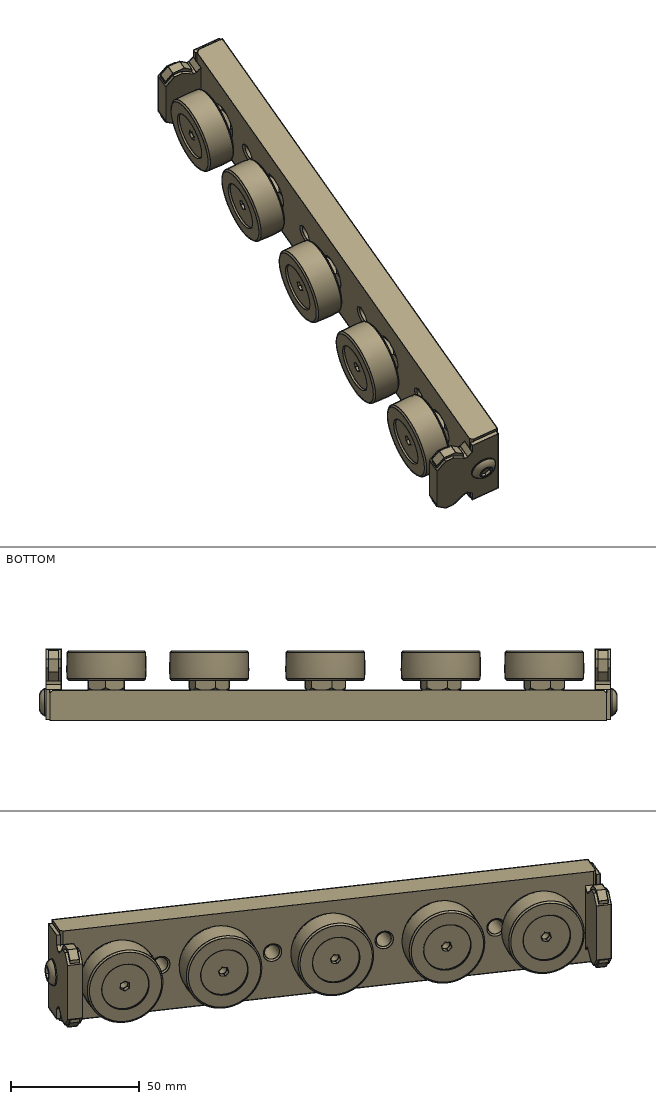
import cadquery as cq
import math


OVERALL_LENGTH = 224.2
OVERALL_DEPTH = 27.8
BACK_Y = OVERALL_DEPTH / 2
FRONT_Y = -OVERALL_DEPTH / 2

BAR_LENGTH = 216.0
BAR_THICKNESS = 11.9
BAR_HEIGHT = 38.0
BAR_END_CHAMFER = 1.1
BAR_FACE_Y = BACK_Y - BAR_THICKNESS
HOLE_PITCH = 45.0
HOLE_COUNT = 4
HOLE_DIAMETER = 6.0
HOLE_CHAMFER = 0.7

ROLLER_WIDTH = 11.5
ROLLER_CROWN_RADIUS = 15.5
ROLLER_EDGE_RADIUS = 15.2
ROLLER_EDGE_CHAMFER = 0.7
ROLLER_FRONT_Y = -13.2
ROLLER_BACK_Y = ROLLER_FRONT_Y + ROLLER_WIDTH
RECESS_DIAMETER = 19.0
RECESS_DEPTH = 1.0
SOCKET_ACROSS_FLATS = 3.5
SOCKET_DEPTH = 2.2
SOCKET_CONE_DEPTH = 1.1
COLLAR_ACROSS_FLATS = 14.0
COLLAR_CORNER_CHAMFER = 1.0

ROLLER_PLACES = [
    (-86.0, -0.7, 118),
    (-46.2, 0.7, 78),
    (-1.1, 0.7, 78),
    (43.7, 0.7, 78),
    (83.8, 0.0, 78),
]

PLATE_THICKNESS = 1.5
PLATE_HEIGHT = 35.5
PLATE_BACK_Y = 13.5
PLATE_FRONT_Y = 1.8
LEG_WIDTH = 6.0
LEG_HALF_HEIGHT = 15.2
LEG_FRONT_HALF_HEIGHT = 11.5
LEG_TOP_REAR_Y = -6.5
LEG_TOP_FRONT_Y = -10.0
NOTCH_HALF_HEIGHT = 11.7
NOTCH_MOUTH_HALF_HEIGHT = 13.5
NOTCH_REAR_Y = -0.2
NOTCH_FRONT_Y = -1.5
LIP_INSET = 1.1
LIP_WIDTH = LEG_WIDTH - 2 * LIP_INSET
LIP_HALF_HEIGHT = 16.4
LIP_SHOULDER_HALF_HEIGHT = 13.2
LIP_REAR_Y = NOTCH_FRONT_Y
LIP_TOP_REAR_Y = -5.0
LIP_FRONT_Y = -13.5

SCREW_Y = 6.7
HEAD_DIAMETER = 10.5
HEAD_RIM = 0.5
HEAD_TOP_DIAMETER = 5.5
HEAD_SHOULDER_DIAMETER = 9.0
HEAD_SHOULDER_HEIGHT = 1.5
SCREW_SOCKET_ACROSS_FLATS = 4.0
SCREW_SOCKET_DEPTH = 1.3

BAR_END_X = BAR_LENGTH / 2
COLLAR_HEIGHT = BAR_FACE_Y - ROLLER_BACK_Y
PLATE_OUTER_X = BAR_END_X + PLATE_THICKNESS
HEAD_HEIGHT = OVERALL_LENGTH / 2 - PLATE_OUTER_X


def across_corners(across_flats):
    return across_flats / math.cos(math.pi / 6)


def hexagon(across_flats, length):
    """Hexagon prism along +Y from the origin, with one flat facing +X."""
    prism = cq.Workplane("XZ").polygon(6, across_corners(across_flats)).extrude(-length)
    return prism.rotate((0, 0, 0), (0, 1, 0), 30)


def make_bar():
    bar = cq.Workplane("XY").box(BAR_LENGTH, BAR_THICKNESS, BAR_HEIGHT)
    bar = bar.translate((0, BACK_Y - BAR_THICKNESS / 2, 0))
    bar = bar.faces("<Y").edges("|Z").chamfer(BAR_END_CHAMFER)
    holes = (
        cq.Workplane("XZ", origin=(0, BAR_FACE_Y, 0))
        .rarray(HOLE_PITCH, 2.2, HOLE_COUNT, 1)
        .circle(HOLE_DIAMETER / 2)
        .extrude(-BAR_THICKNESS)
    )
    bar = bar.cut(holes)
    return bar.faces("<Y").edges("%CIRCLE").chamfer(HOLE_CHAMFER)


def make_collar():
    """Hexagon collar behind the roller, its corners bevelled where it meets the bar."""
    corner_radius = across_corners(COLLAR_ACROSS_FLATS) / 2
    envelope = (
        cq.Workplane("XZ")
        .circle(corner_radius)
        .extrude(-COLLAR_HEIGHT)
        .faces(">Y")
        .chamfer(COLLAR_CORNER_CHAMFER)
    )
    collar = hexagon(COLLAR_ACROSS_FLATS, COLLAR_HEIGHT).intersect(envelope)
    return collar.translate((0, ROLLER_BACK_Y, 0))


def make_roller_socket():
    """Hexagon socket sunk from the recess floor, ending in a cone."""
    prism_depth = RECESS_DEPTH + SOCKET_DEPTH
    cone = cq.Solid.makeCone(
        SOCKET_ACROSS_FLATS / 2,
        0,
        SOCKET_CONE_DEPTH,
        pnt=cq.Vector(0, prism_depth, 0),
        dir=cq.Vector(0, 1, 0),
    )
    socket = hexagon(SOCKET_ACROSS_FLATS, prism_depth).union(cq.Workplane(cone))
    return socket.translate((0, ROLLER_FRONT_Y, 0))


def make_roller(x, z, turn):
    edge_radius = ROLLER_EDGE_RADIUS - ROLLER_EDGE_CHAMFER
    roller = (
        cq.Workplane("XY")
        .moveTo(0, ROLLER_FRONT_Y)
        .lineTo(edge_radius, ROLLER_FRONT_Y)
        .lineTo(ROLLER_EDGE_RADIUS, ROLLER_FRONT_Y + ROLLER_EDGE_CHAMFER)
        .threePointArc(
            (ROLLER_CROWN_RADIUS, ROLLER_FRONT_Y + ROLLER_WIDTH / 2),
            (ROLLER_EDGE_RADIUS, ROLLER_BACK_Y - ROLLER_EDGE_CHAMFER),
        )
        .lineTo(edge_radius, ROLLER_BACK_Y)
        .lineTo(0, ROLLER_BACK_Y)
        .close()
        .revolve(360, (0, 0), (0, 1))
    )
    roller = roller.union(make_collar())
    recess = (
        cq.Workplane("XZ", origin=(0, ROLLER_FRONT_Y, 0))
        .circle(RECESS_DIAMETER / 2)
        .extrude(-RECESS_DEPTH)
    )
    roller = roller.cut(recess).cut(make_roller_socket())
    roller = roller.rotate((0, 0, 0), (0, -1, 0), turn)
    return roller.translate((x, 0, z))


def mirrored_outline(upper_points):
    """Closed outline of (Y, Z) points: the upper half and its mirror image below."""
    lower_points = [(y, -z) for y, z in reversed(upper_points)]
    return upper_points + lower_points


def make_wiper():
    """Wiper of the +X end: a plate on the bar end and a thicker leg in front of the bar."""
    plate_outline = mirrored_outline([
        (PLATE_BACK_Y, PLATE_HEIGHT / 2),
        (PLATE_FRONT_Y, PLATE_HEIGHT / 2),
        (PLATE_FRONT_Y, NOTCH_MOUTH_HALF_HEIGHT),
    ])
    leg_outline = mirrored_outline([
        (PLATE_FRONT_Y, NOTCH_MOUTH_HALF_HEIGHT),
        (NOTCH_REAR_Y, NOTCH_HALF_HEIGHT),
        (NOTCH_FRONT_Y, NOTCH_HALF_HEIGHT),
        (LEG_TOP_REAR_Y, LEG_HALF_HEIGHT),
        (LEG_TOP_FRONT_Y, LEG_HALF_HEIGHT),
        (FRONT_Y, LEG_FRONT_HALF_HEIGHT),
    ])
    lip_outline = mirrored_outline([
        (LIP_REAR_Y, LIP_SHOULDER_HALF_HEIGHT),
        (LIP_TOP_REAR_Y, LIP_HALF_HEIGHT),
        (LEG_TOP_FRONT_Y, LIP_HALF_HEIGHT),
        (LIP_FRONT_Y, LIP_SHOULDER_HALF_HEIGHT),
    ])
    outer_plane = cq.Workplane("YZ", origin=(PLATE_OUTER_X, 0, 0))
    lip_plane = cq.Workplane("YZ", origin=(PLATE_OUTER_X - LIP_INSET, 0, 0))
    plate = outer_plane.polyline(plate_outline).close().extrude(-PLATE_THICKNESS)
    leg = outer_plane.polyline(leg_outline).close().extrude(-LEG_WIDTH)
    lip = lip_plane.polyline(lip_outline).close().extrude(-LIP_WIDTH)
    return plate.union(leg).union(lip)


def make_screw():
    """Domed head with a hexagon socket, seated on the wiper of the +X end."""
    head = (
        cq.Workplane("XY")
        .lineTo(HEAD_DIAMETER / 2, 0)
        .lineTo(HEAD_DIAMETER / 2, HEAD_RIM)
        .threePointArc(
            (HEAD_SHOULDER_DIAMETER / 2, HEAD_SHOULDER_HEIGHT),
            (HEAD_TOP_DIAMETER / 2, HEAD_HEIGHT),
        )
        .lineTo(0, HEAD_HEIGHT)
        .close()
        .revolve(360, (0, 0), (0, 1))
    )
    socket = hexagon(SCREW_SOCKET_ACROSS_FLATS, SCREW_SOCKET_DEPTH)
    head = head.cut(socket.translate((0, HEAD_HEIGHT - SCREW_SOCKET_DEPTH, 0)))
    head = head.rotate((0, 0, 0), (0, 0, 1), -90)
    return head.translate((PLATE_OUTER_X, SCREW_Y, 0))


def at_both_ends(body):
    return [body.val(), body.mirror("YZ").val()]


bar = make_bar()
rollers = [make_roller(x, z, turn) for x, z, turn in ROLLER_PLACES]
wipers = at_both_ends(make_wiper())
screws = at_both_ends(make_screw())

result = cq.Compound.makeCompound(
    [bar.val(), *[roller.val() for roller in rollers], *wipers, *screws]
)